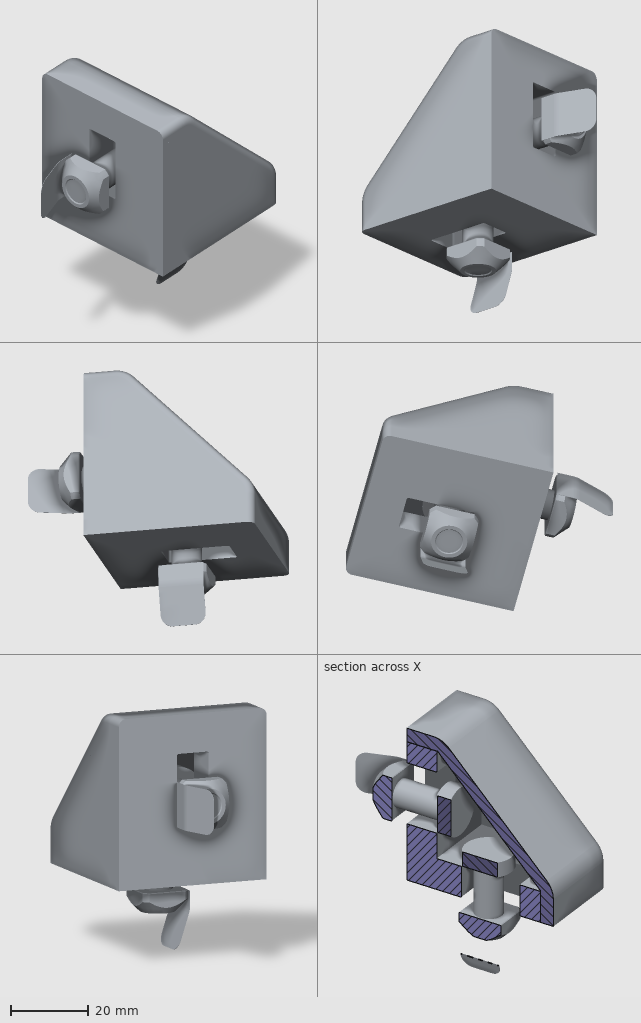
import cadquery as cq
import math


width = 42.0
overall_leg = 45.35
cap_thickness = 4.0
leg_thickness = 9.35
side_wall = 4.0
cap_edge_fillet = 2.0
cap_bend_radius = 7.0
leg_length = overall_leg - cap_thickness

slot_width = 9.0
slot_start = 16.8
slot_end = 35.0
slot_corner_radius = 0.5

bolt_position = 22.6
nut_near = 4.55
nut_thickness = 5.95
nut_far = nut_near + nut_thickness

nut_size = 13.0
nut_corner_diameter = 16.5
nut_near_chamfer = 0.2
nut_face_diameter = 9.4
thread_diameter = 6.8
thread_chamfer = 0.25

shank_diameter = 8.0
head_diameter = 14.0
head_height = 4.4

overall_length = 65.85
spring_reach = overall_length - overall_leg
spring_thickness = 0.1
leaf_start = nut_near + nut_near_chamfer
leaf_width = 12.0
leaf_tip_radius = 3.0
leaf_bend_start = 9.0
leaf_bend_radius = 5.3
leaf_angle = math.radians(18)


def side_profile(points):
    """Closed outline in the YZ plane, extruded along +X."""
    return cq.Workplane("YZ").polyline(points).close()


def leg_outline(length, bend):
    """Right angle at the origin, two short ends and a 45 degree slope between them."""
    return [(0, 0), (length, 0), (length, bend), (bend, length), (0, length)]


def outward_cylinder(diameter, start, end):
    """Cylinder on the fastener axis, between two distances from the mounting face."""
    return (
        cq.Workplane("XZ", origin=(0, -start, bolt_position))
        .circle(diameter / 2)
        .extrude(end - start)
    )


def to_lower_face(body):
    """Turn a body of the front fastener into the matching body of the lower one."""
    return body.rotate((0, 0, 0), (0, 1, 1), 180)


def make_slot():
    slot_middle = (slot_start + slot_end) / 2
    return (
        cq.Workplane("XY")
        .box(slot_width, leg_thickness, slot_end - slot_start)
        .edges("|Y")
        .fillet(slot_corner_radius)
        .translate((0, leg_thickness / 2, slot_middle))
    )


def make_bracket():
    cavity_outline = [
        (leg_thickness, leg_thickness),
        (leg_length, leg_thickness),
        (leg_thickness, leg_length),
    ]
    body = side_profile(leg_outline(leg_length, leg_thickness)).extrude(width / 2, both=True)
    cavity = side_profile(cavity_outline).extrude(width / 2 - side_wall, both=True)
    slot = make_slot()
    return body.cut(cavity).cut(slot).cut(to_lower_face(slot))


def make_cap():
    outer_bend = leg_thickness + cap_thickness * math.tan(math.pi / 8)
    shell = side_profile(leg_outline(overall_leg, outer_bend)).extrude(width / 2, both=True)
    for y, z in [(overall_leg, outer_bend), (outer_bend, overall_leg)]:
        shell = shell.edges(cq.NearestToPointSelector((0, y, z))).fillet(cap_bend_radius)
    for x in (-width / 2, width / 2):
        top_side_edge = cq.NearestToPointSelector((x, leg_thickness / 2, overall_leg))
        shell = shell.edges(top_side_edge).fillet(cap_edge_fillet)
    inside = side_profile(leg_outline(leg_length, leg_thickness)).extrude(width / 2, both=True)
    return shell.cut(inside)


def make_bolt():
    tip = nut_far - thread_chamfer
    head = outward_cylinder(head_diameter, -leg_thickness - head_height, -leg_thickness)
    shank = outward_cylinder(shank_diameter, -leg_thickness, nut_near)
    thread = outward_cylinder(thread_diameter, nut_near, tip)
    return head.union(shank).union(thread)


def make_nut():
    block = (
        cq.Workplane("XZ", origin=(0, -nut_near, bolt_position))
        .rect(nut_size, nut_size)
        .extrude(nut_thickness)
        .intersect(outward_cylinder(nut_corner_diameter, nut_near, nut_far))
        .faces(">Y")
        .chamfer(nut_near_chamfer)
    )
    tip_radius = nut_face_diameter / 2
    cone = (
        cq.Workplane("XY")
        .moveTo(0, -nut_far)
        .lineTo(tip_radius, -nut_far)
        .lineTo(tip_radius + nut_thickness, -nut_near)
        .lineTo(0, -nut_near)
        .close()
        .revolve(360, (0, 0, 0), (0, 1, 0))
        .translate((0, 0, bolt_position))
    )
    hole = outward_cylinder(thread_diameter, nut_near, nut_far)
    nut = block.intersect(cone).cut(hole)
    thread_mouth = nut.faces("<Y").edges(cq.selectors.RadiusNthSelector(0))
    return thread_mouth.chamfer(thread_chamfer)


def make_spring():
    inner_x = -nut_size / 2
    outer_x = inner_x - spring_thickness
    bend_center_x = outer_x + leaf_bend_radius

    def bend_point(radius, angle):
        return (bend_center_x - radius * math.cos(angle), -leaf_bend_start - radius * math.sin(angle))

    def tip_point(radius):
        x, y = bend_point(radius, leaf_angle)
        return (x + (spring_reach + y) * math.tan(leaf_angle), -spring_reach)

    outer_radius = leaf_bend_radius
    inner_radius = leaf_bend_radius - spring_thickness
    leaf = (
        cq.Workplane("XY", origin=(0, 0, bolt_position))
        .moveTo(inner_x, -leaf_start)
        .lineTo(outer_x, -leaf_start)
        .lineTo(outer_x, -leaf_bend_start)
        .threePointArc(bend_point(outer_radius, leaf_angle / 2), bend_point(outer_radius, leaf_angle))
        .lineTo(*tip_point(outer_radius))
        .lineTo(*tip_point(inner_radius))
        .lineTo(*bend_point(inner_radius, leaf_angle))
        .threePointArc(bend_point(inner_radius, leaf_angle / 2), bend_point(inner_radius, 0))
        .close()
        .extrude(leaf_width / 2, both=True)
    )
    leaf_outline = (
        cq.Workplane("XY")
        .box(nut_size * 2, spring_reach, leaf_width)
        .edges("|X and <Y")
        .fillet(leaf_tip_radius)
        .translate((0, -spring_reach / 2, bolt_position))
    )
    return leaf.intersect(leaf_outline)


bracket = make_bracket()
cap = make_cap()
front_fastener = [make_bolt(), make_nut(), make_spring()]
lower_fastener = [to_lower_face(body) for body in front_fastener]

bodies = [bracket, cap] + front_fastener + lower_fastener
result = cq.Compound.makeCompound([body.val() for body in bodies])